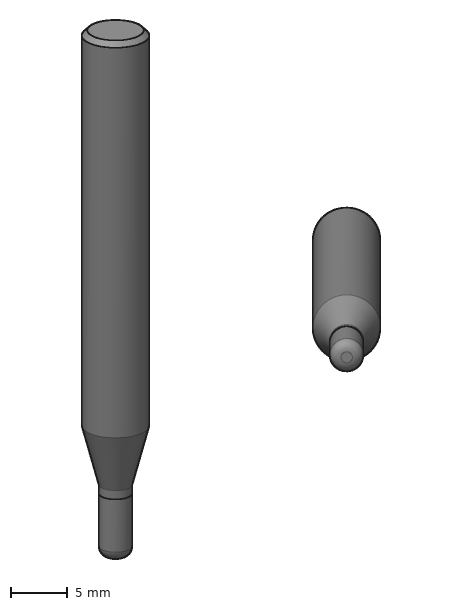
import cadquery as cq
import math

total_length = 50.0
shank_radius = 3.0
shank_chamfer = 0.5
shoulder_height = 12.45

cutter_radius = 1.5
cutter_length = 6.0
corner_radius = 1.0
neck_radius = cutter_radius

taper_half_angle = 15.0
taper_length = (shank_radius - neck_radius) / math.tan(math.radians(taper_half_angle))
taper_bottom = shoulder_height - taper_length


def make_shank():
    """Neck, taper and chamfered shank revolved as one body."""
    return (
        cq.Workplane("XZ")
        .moveTo(0, cutter_length)
        .lineTo(neck_radius, cutter_length)
        .lineTo(neck_radius, taper_bottom)
        .lineTo(shank_radius, shoulder_height)
        .lineTo(shank_radius, total_length - shank_chamfer)
        .lineTo(shank_radius - shank_chamfer, total_length)
        .lineTo(0, total_length)
        .close()
        .revolve(360, (0, 0), (0, 1))
    )


def make_cutter():
    """Cylindrical cutting head with a rounded lower corner."""
    return (
        cq.Workplane("XY")
        .circle(cutter_radius)
        .extrude(cutter_length)
        .faces("<Z")
        .edges()
        .fillet(corner_radius)
    )


shank = make_shank()
cutter = make_cutter()

result = cq.Compound.makeCompound([shank.val(), cutter.val()])